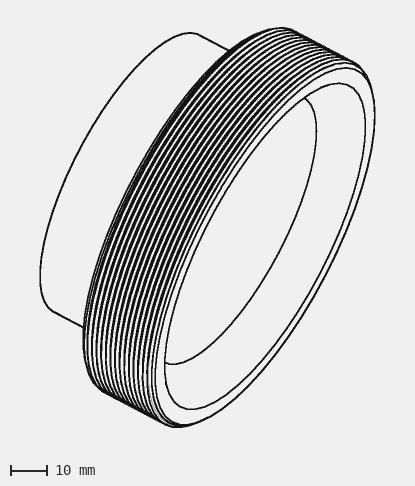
import cadquery as cq

total_length = 45.0
thread_radius = 55.3

tube_radius = 42.4
bore_radius = 40.5
tube_length = 18.8

fillet_run = 0.8
fillet_rise = 0.9
shoulder_end = 21.6

rim_chamfer = 1.5

flare_length = 10.2
flare_rise = 8.6

counted_pitches = 11
counted_length = 16.5
pitch = counted_length / counted_pitches
thread_depth = 1.0
crest_flat = 0.1
thread_start = 22.1
middle_turns = 12
cutter_clearance = 0.05


def turned_blank():
    """Solid of revolution with the bore, shoulder, chamfers and flare."""
    chamfer_radius = thread_radius - rim_chamfer
    fillet_end = (tube_length + fillet_run, tube_radius + fillet_rise)
    profile = (
        cq.Workplane("XY")
        .moveTo(0, bore_radius)
        .lineTo(0, tube_radius)
        .lineTo(tube_length, tube_radius)
        .tangentArcPoint(fillet_end, relative=False)
        .lineTo(shoulder_end, chamfer_radius)
        .lineTo(shoulder_end + rim_chamfer, thread_radius)
        .lineTo(total_length - rim_chamfer, thread_radius)
        .lineTo(total_length, chamfer_radius)
        .lineTo(total_length, bore_radius + flare_rise)
        .lineTo(total_length - flare_length, bore_radius)
        .close()
    )
    return profile.revolve(360, (0, 0, 0), (1, 0, 0))


def thread_groove(first_turn, turns):
    """Right-handed V-shaped cutter, built along Z and then laid along X."""
    root_radius = thread_radius - thread_depth
    groove_half_width = (pitch - crest_flat) / 2
    outer_radius = thread_radius + cutter_clearance
    outer_half_width = groove_half_width * (1 + cutter_clearance / thread_depth)
    path = cq.Workplane(cq.Wire.makeHelix(pitch, turns * pitch, root_radius))
    groove = (
        cq.Workplane("XZ")
        .moveTo(root_radius, 0)
        .lineTo(outer_radius, outer_half_width)
        .lineTo(outer_radius, -outer_half_width)
        .close()
        .sweep(path, isFrenet=True)
    )
    turn_start = thread_start + first_turn * pitch
    return groove.rotate((0, 0, 0), (0, 1, 0), 90).translate((turn_start, 0, 0))


result = turned_blank().cut(thread_groove(1, middle_turns))
for end_turn in (0, middle_turns + 1, middle_turns + 2):
    result = result.cut(thread_groove(end_turn, 1))